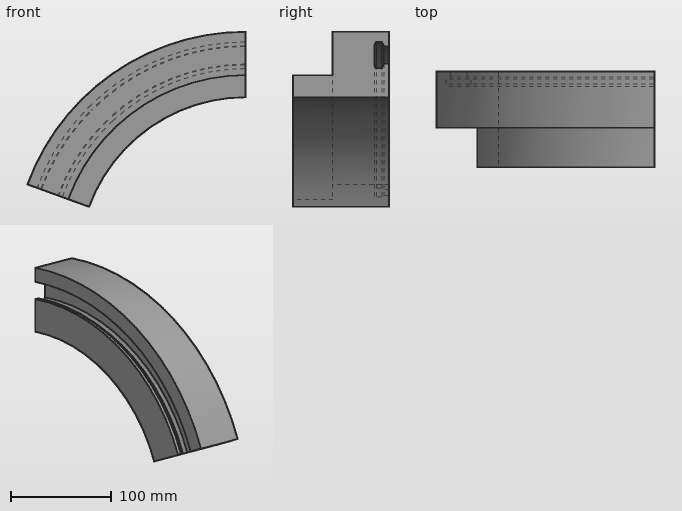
import cadquery as cq
import math

length = 216.1
sweep_angle = 70.0
outer_radius = length / math.sin(math.radians(sweep_angle))
inner_radius = 165.0
step_radius = 187.0

total_depth = 95.0
thick_depth = 56.0

track_radius = outer_radius - 23.1
neck_width = 17.5
neck_depth = 5.2
head_width = 26.4
head_depth = 9.5
head_chamfer_depth = 2.2
head_end_width = 18.8


def revolve_section(points):
    """Revolve a closed (radius, Y) section from upright toward -X."""
    upright = cq.Workplane("YZ").polyline([(y, radius) for radius, y in points]).close()
    return upright.revolve(sweep_angle, (0, 0), (-1, 0))


def make_body():
    """Thick outer band with a narrower step standing out toward -Y."""
    return revolve_section([
        (inner_radius, 0),
        (outer_radius, 0),
        (outer_radius, -thick_depth),
        (step_radius, -thick_depth),
        (step_radius, -total_depth),
        (inner_radius, -total_depth),
    ])


def make_track():
    """Narrow neck opening into a wider head with chamfered corners."""
    head_floor = neck_depth + head_depth
    half_profile = [
        (neck_width / 2, 0),
        (neck_width / 2, neck_depth),
        (head_end_width / 2, neck_depth),
        (head_width / 2, neck_depth + head_chamfer_depth),
        (head_width / 2, head_floor - head_chamfer_depth),
        (head_end_width / 2, head_floor),
    ]
    outer_side = [(track_radius + offset, -depth) for offset, depth in half_profile]
    inner_side = [(track_radius - offset, -depth) for offset, depth in reversed(half_profile)]
    return revolve_section(outer_side + inner_side)


result = make_body().cut(make_track())